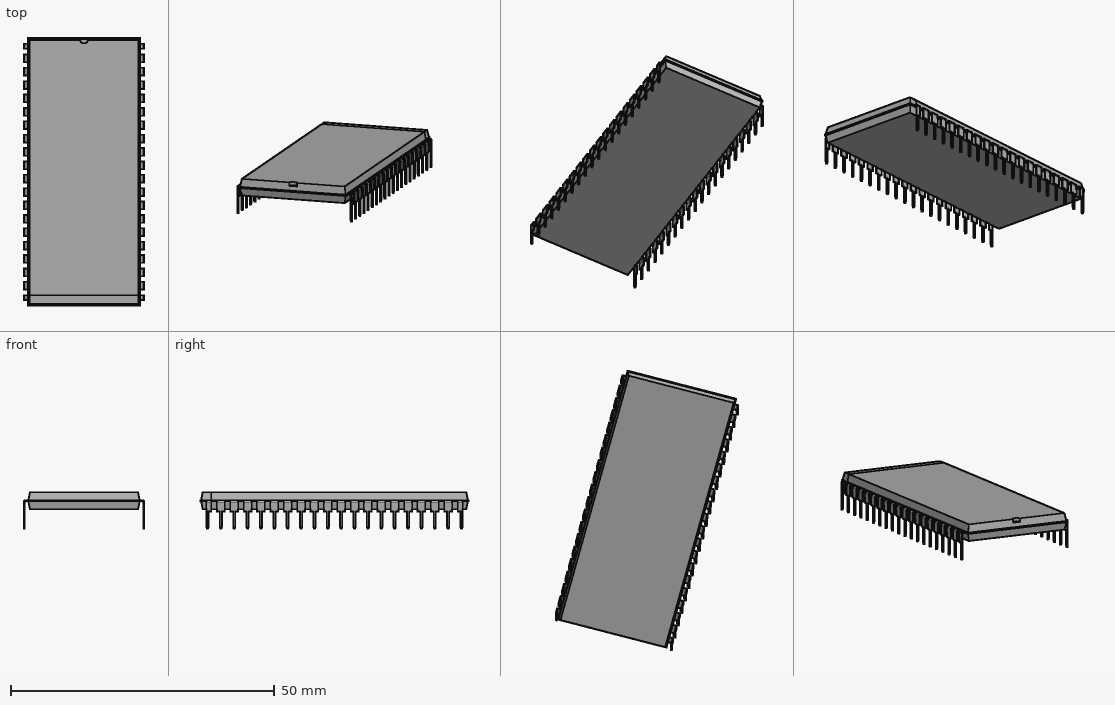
import cadquery as cq


band_length = 50.9
band_width = 21.4
band_thickness = 0.25
body_height = 3.25
band_overhang = 0.1
taper_inset = 0.3

notch_radius = 0.75
notch_depth = 0.65

end_block_length = 2.1

leads_per_row = 20
lead_span = 22.85
row_length = 48.25
lead_thickness = 0.2
bend_radius = 0.35
shoulder_width = 1.55
pin_width = 0.45
tip_width = 0.2
tip_length = 0.4
shoulder_drop = 2.1
overall_height = 7.0

half_height = (body_height - band_thickness) / 2
band_top = band_thickness / 2
housing_top = body_height / 2
pin_bottom = housing_top - overall_height
base_length = band_length - 2 * band_overhang
base_width = band_width - 2 * band_overhang
face_length = base_length - 2 * taper_inset
face_width = base_width - 2 * taper_inset
lead_pitch = row_length / (leads_per_row - 1)
lead_root = base_width / 2 - taper_inset


def make_tapered_half():
    """Upper half of the moulding, from the top of the band to the top face."""
    return (
        cq.Workplane("XY").workplane(offset=band_top).rect(base_width, base_length)
        .workplane(offset=half_height).rect(face_width, face_length)
        .loft(ruled=True)
    )


def make_moulding():
    """Band with a tapered half above and below it."""
    upper_half = make_tapered_half()
    lower_half = upper_half.mirror("XY")
    band = cq.Workplane("XY").box(band_width, band_length, band_thickness)
    return band.union(upper_half).union(lower_half)


def make_notch():
    """Round cutter for the pin-1 notch, whose floor is a half circle meeting the end face."""
    floor_end = face_length / 2 + notch_depth * taper_inset / half_height
    return (
        cq.Workplane("XY").workplane(offset=housing_top - notch_depth)
        .center(0, floor_end)
        .circle(notch_radius).extrude(notch_depth)
    )


def make_bent_strip():
    """L-shaped lead section at +X, as long as the whole row of leads."""
    outer = lead_span / 2
    inner = outer - lead_thickness
    top = lead_thickness / 2
    strip = (
        cq.Workplane("XZ")
        .moveTo(lead_root, top)
        .lineTo(outer, top)
        .lineTo(outer, pin_bottom)
        .lineTo(inner, pin_bottom)
        .lineTo(inner, -top)
        .lineTo(lead_root, -top)
        .close()
        .extrude(band_length / 2, both=True)
    )
    outer_corner = cq.selectors.NearestToPointSelector((outer, 0, top))
    inner_corner = cq.selectors.NearestToPointSelector((inner, 0, -top))
    strip = strip.edges(outer_corner).fillet(bend_radius)
    return strip.edges(inner_corner).fillet(bend_radius - lead_thickness)


def make_lead_outline(y, shoulder_start, shoulder_end):
    """Solid whose Y-Z outline is one lead: a wide shoulder above a pin with a tapered tip."""
    half_pin = pin_width / 2
    half_tip = tip_width / 2
    tip_start = pin_bottom + tip_length
    pin = (
        cq.Workplane("YZ")
        .moveTo(y - half_pin, band_top)
        .lineTo(y - half_pin, tip_start)
        .lineTo(y - half_tip, pin_bottom)
        .lineTo(y + half_tip, pin_bottom)
        .lineTo(y + half_pin, tip_start)
        .lineTo(y + half_pin, band_top)
        .close()
        .extrude(lead_span)
    )
    shoulder = (
        cq.Workplane("YZ")
        .moveTo(shoulder_start, band_top)
        .lineTo(shoulder_end, band_top)
        .lineTo(shoulder_end, -shoulder_drop)
        .lineTo(shoulder_start, -shoulder_drop)
        .close()
        .extrude(lead_span)
    )
    return pin.union(shoulder)


def make_leads():
    """All leads on both sides; the end leads have a shoulder on the inward side only."""
    strip = make_bent_strip()
    row_end = (row_length + pin_width) / 2
    leads = []
    for index in range(leads_per_row):
        y = index * lead_pitch - row_length / 2
        shoulder_start = max(y - shoulder_width / 2, -row_end)
        shoulder_end = min(y + shoulder_width / 2, row_end)
        lead = strip.intersect(make_lead_outline(y, shoulder_start, shoulder_end))
        leads += [lead, lead.mirror("YZ")]
    return leads


def make_end_block():
    """Upper -Y end of the moulding, above the band."""
    cutter = cq.Workplane("XY").box(band_width, 2 * end_block_length, 2 * housing_top)
    return make_tapered_half().intersect(cutter.translate((0, -band_length / 2, 0)))


def make_housing(end_block):
    """Moulding with its leads, without the end block and the notch."""
    housing = make_moulding().cut(make_notch()).cut(end_block)
    for lead in make_leads():
        housing = housing.union(lead)
    return housing


end_block = make_end_block()
housing = make_housing(end_block)
result = cq.Compound.makeCompound([housing.val(), end_block.val()])